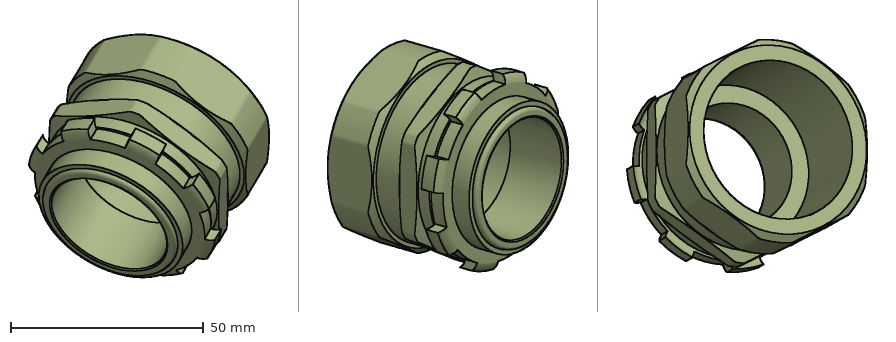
import cadquery as cq
import math


tip_length = 1.35
ring_front = 7.0
ring_back = 11.0
collar_front = 11.95
tooth_back = 12.4
body_hex_front = 15.7
body_hex_back = 21.7
nut_front = 29.5
total_length = 44.8

tip_diameter = 38.3
tip_rounding = 1.0
thread_diameter = 41.1
collar_diameter = 47.7
body_diameter = 48.2
bore_diameter = 32.9
bore_chamfer = 0.4
bore_depth = 17.5
rear_bore_diameter = 42.5

body_hex_corner_diameter = 54.5
nut_corner_diameter = 54.4
body_hex_across_flats = 48.5
body_hex_face_diameter = 48.2
body_hex_chamfer_length = 0.85
body_hex_edge_radius = 2.0
nut_across_flats = 51.2
nut_face_diameter = 50.6
nut_chamfer_length = 1.55
nut_edge_radius = 3.0

ring_diameter = 48.5
tooth_tip_diameter = 53.3
tooth_width = 9.0
tooth_count = 8
first_tooth_angle = -14.15
tooth_front_drop = 1.35
tooth_front_bulge = 0.25
tooth_back_hollow = 0.36


def cylinder(diameter, y_start, y_end):
    """Solid cylinder on the Y axis between two stations."""
    plane = cq.Workplane("XZ", origin=(0, y_start, 0))
    return plane.circle(diameter / 2).extrude(y_start - y_end)


def revolve_profile(profile):
    """Turn a closed (radius, y) profile about the Y axis."""
    return profile.close().revolve(360, (0, 0, 0), (0, 1, 0))


def chamfered_hexagon(
    across_flats, corner_diameter, face_diameter, chamfer_length, edge_radius, y_start, y_end
):
    """Hexagonal collar with turned, blended corners and a conical chamfer on both faces."""
    corner_radius = corner_diameter / 2
    face_radius = face_diameter / 2
    hexagon_diameter = across_flats / math.cos(math.pi / 6)
    prism = (
        cq.Workplane("XZ", origin=(0, y_start, 0))
        .transformed(rotate=(0, 0, 90))
        .polygon(6, hexagon_diameter)
        .extrude(y_start - y_end)
        .intersect(cylinder(corner_diameter, y_start, y_end))
        .edges("|Y")
        .fillet(edge_radius)
    )
    chamfer_envelope = revolve_profile(
        cq.Workplane("XY")
        .moveTo(0, y_start)
        .lineTo(face_radius, y_start)
        .lineTo(corner_radius, y_start + chamfer_length)
        .lineTo(corner_radius, y_end - chamfer_length)
        .lineTo(face_radius, y_end)
        .lineTo(0, y_end)
    )
    return prism.intersect(chamfer_envelope)


def lock_ring():
    """Flat ring with teeth whose front is rounded and whose back is dished."""
    root_radius = ring_diameter / 2
    tip_radius = tooth_tip_diameter / 2
    tooth_front = ring_front + tooth_front_drop
    dished_disc = revolve_profile(
        cq.Workplane("XY")
        .moveTo(0, ring_front)
        .lineTo(root_radius, ring_front)
        .sagittaArc((tip_radius, tooth_front), -tooth_front_bulge)
        .lineTo(tip_radius, tooth_back)
        .sagittaArc((root_radius, ring_back), tooth_back_hollow)
        .lineTo(0, ring_back)
    )
    ring = cylinder(ring_diameter, ring_front, ring_back)
    for index in range(tooth_count):
        angle = first_tooth_angle + index * 360 / tooth_count
        bar = (
            cq.Workplane("XY")
            .box(tip_radius, tooth_back, tooth_width, centered=(False, False, True))
            .rotate((0, 0, 0), (0, 1, 0), -angle)
        )
        ring = ring.union(dished_disc.intersect(bar))
    return ring


def turned_body():
    """Stepped cylinder from the rounded tip to the rear nut."""
    tip = cylinder(tip_diameter, 0, tip_length).faces("<Y").edges().fillet(tip_rounding)
    return (
        tip.union(cylinder(thread_diameter, tip_length, collar_front))
        .union(cylinder(collar_diameter, collar_front, body_hex_front))
        .union(cylinder(body_diameter, body_hex_back, nut_front))
    )


def through_bore():
    """Bore with a chamfered mouth, wider behind bore_depth."""
    bore_radius = bore_diameter / 2
    rear_radius = rear_bore_diameter / 2
    return revolve_profile(
        cq.Workplane("XY")
        .lineTo(bore_radius + bore_chamfer, 0)
        .lineTo(bore_radius, bore_chamfer)
        .lineTo(bore_radius, bore_depth)
        .lineTo(rear_radius, bore_depth)
        .lineTo(rear_radius, total_length)
        .lineTo(0, total_length)
    )


body_hex = chamfered_hexagon(
    body_hex_across_flats,
    body_hex_corner_diameter,
    body_hex_face_diameter,
    body_hex_chamfer_length,
    body_hex_edge_radius,
    body_hex_front,
    body_hex_back,
)
rear_nut = chamfered_hexagon(
    nut_across_flats,
    nut_corner_diameter,
    nut_face_diameter,
    nut_chamfer_length,
    nut_edge_radius,
    nut_front,
    total_length,
)
result = turned_body().union(body_hex).union(rear_nut).union(lock_ring()).cut(through_bore())